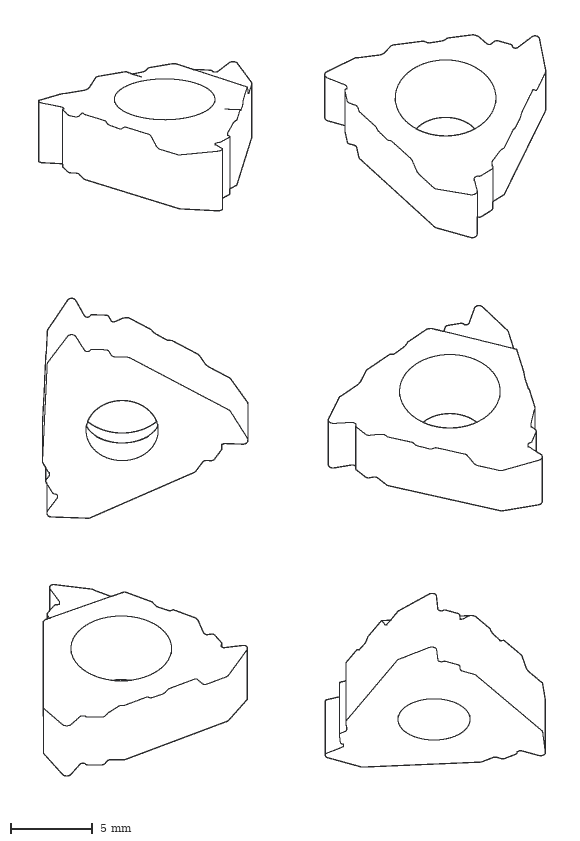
import cadquery as cq
import math

THICKNESS = 4.35
INSCRIBED_RADIUS = 9.525 / 2
TOOTH_COUNT = 3
TOOTH_PITCH = 360 / TOOTH_COUNT
COS30 = math.cos(math.radians(30))
SIN30 = math.sin(math.radians(30))

TIP_X = -3.351
TIP_CENTRE_Y = -6.61
TIP_RADIUS = 0.3
GROOVE_TOP_Y = -5.71
GROOVE_TOP_END_X = -2.24
STEP_Y = -5.88
GROOVE_EDGE_SLOPE = 60
STEP_END_X = -1.09
SHOULDER_Y = -5.39
SHOULDER_START_X = -0.82
GROOVE_ROOT_RADIUS = 0.2
GROOVE_EDGE_RADIUS = 0.165
OUTLINE_RADIUS = 0.25

RAKE_POINT = (7.55, 0.454, 3.98)
RAKE_SLOPE_X = 0.158
RAKE_SLOPE_Y = 0.095
FACET_EDGE_Z = 3.58
FACET_DROP = 0.09
FACET_JUNCTION = (5.15, -1.2, 3.48)
WALL_TOP_X = 4.645
WALL_SKEW = 0.028
WALL_RUN = 0.62
VALLEY_RADIUS = 0.3
WALL_TOP_RADIUS = 0.16
CUTTER_SIZE = 20

THROAT_RADIUS = 4.4 / 2
HEAD_RADIUS = 3.07
SEAT_RADIUS = 3.7
THROAT_LENGTH = 0.83
SEAT_FILLET = 0.4
SEARCH_MARGIN = 0.01

NOTCH_END_X = -3.54
NOTCH_END_Y = 0.55
NOTCH_ANGLE = 15
NOTCH_WIDTH = 0.91
NOTCH_RAMP = 10
NOTCH_WALL_ANGLE = 50
NOTCH_FLOOR_RADIUS = 0.3
NOTCH_RIM_RADIUS = 0.12
NOTCH_HEIGHT = 1
NOTCH_LENGTH = 2


def around_axis(shape, index):
    return shape.rotate((0, 0, 0), (0, 0, 1), index * TOOTH_PITCH)


def tooth_corners():
    """Sharp outline corners of the -Y tooth with the radius that rounds each one."""
    flank_reach = TIP_RADIUS - COS30 * TIP_X - SIN30 * TIP_CENTRE_Y
    far_flank_reach = TIP_RADIUS + COS30 * TIP_X - SIN30 * TIP_CENTRE_Y
    flank_start_y = (COS30 * INSCRIBED_RADIUS - flank_reach) / SIN30
    apex_y = TIP_CENTRE_Y - TIP_RADIUS / SIN30
    groove_start_x = (far_flank_reach + SIN30 * GROOVE_TOP_Y) / COS30
    groove_edge_run = (GROOVE_TOP_Y - STEP_Y) / math.tan(math.radians(GROOVE_EDGE_SLOPE))
    step_start_x = GROOVE_TOP_END_X + groove_edge_run
    shoulder_end_x = (INSCRIBED_RADIUS + COS30 * SHOULDER_Y) / SIN30
    return [
        (-INSCRIBED_RADIUS, flank_start_y, OUTLINE_RADIUS),
        (TIP_X, apex_y, TIP_RADIUS),
        (groove_start_x, GROOVE_TOP_Y, GROOVE_ROOT_RADIUS),
        (GROOVE_TOP_END_X, GROOVE_TOP_Y, GROOVE_EDGE_RADIUS),
        (step_start_x, STEP_Y, GROOVE_EDGE_RADIUS),
        (STEP_END_X, STEP_Y, OUTLINE_RADIUS),
        (SHOULDER_START_X, SHOULDER_Y, OUTLINE_RADIUS),
        (shoulder_end_x, SHOULDER_Y, OUTLINE_RADIUS),
    ]


def spin(x, y, degrees):
    angle = math.radians(degrees)
    return (
        x * math.cos(angle) - y * math.sin(angle),
        x * math.sin(angle) + y * math.cos(angle),
    )


def make_body():
    corners = []
    for index in range(TOOTH_COUNT):
        for x, y, radius in tooth_corners():
            corners.append((spin(x, y, index * TOOTH_PITCH), radius))
    outline = [point for point, _ in corners]
    body = cq.Workplane("XY").polyline(outline).close().extrude(THICKNESS)
    for (x, y), radius in corners:
        corner_edge = cq.selectors.NearestToPointSelector((x, y, THICKNESS / 2))
        body = body.edges("|Z").edges(corner_edge).fillet(radius)
    return body


def half_space(point, normal):
    plane = cq.Plane(origin=point, normal=normal)
    return cq.Workplane(plane).rect(2 * CUTTER_SIZE, 2 * CUTTER_SIZE).extrude(CUTTER_SIZE)


def make_tooth_cutter():
    """Space above the +X tooth: over the rake and the facet, outside the wall."""
    above_rake = half_space(RAKE_POINT, (-RAKE_SLOPE_X, -RAKE_SLOPE_Y, 1))
    facet_point = (SIN30 * INSCRIBED_RADIUS, -COS30 * INSCRIBED_RADIUS, FACET_EDGE_Z)
    above_facet = half_space(facet_point, (-FACET_DROP * SIN30, FACET_DROP * COS30, 1))
    beyond_wall = half_space((WALL_TOP_X, 0, THICKNESS), (1, -WALL_SKEW, WALL_RUN))
    cutter = above_rake.intersect(above_facet).intersect(beyond_wall)
    junction = cutter.vertices(cq.selectors.NearestToPointSelector(FACET_JUNCTION)).val()
    meeting_edges = [
        edge
        for edge in cutter.edges().vals()
        if any(vertex.isSame(junction) for vertex in edge.Vertices())
    ]
    return cutter.newObject(meeting_edges).fillet(VALLEY_RADIUS)


def make_hole_cutter():
    head_offset = HEAD_RADIUS - THROAT_RADIUS
    seat_height = math.sqrt(SEAT_RADIUS**2 - (SEAT_RADIUS - head_offset)**2)
    seat_top = THROAT_LENGTH + seat_height
    profile = (
        cq.Workplane("XZ")
        .lineTo(THROAT_RADIUS, 0)
        .lineTo(THROAT_RADIUS, THROAT_LENGTH)
        .radiusArc((HEAD_RADIUS, seat_top), SEAT_RADIUS)
        .lineTo(HEAD_RADIUS, THICKNESS)
        .lineTo(0, THICKNESS)
        .close()
    )
    hole = profile.revolve(360, (0, 0), (0, 1))
    seat_edge = cq.selectors.BoxSelector(
        (-THICKNESS, -THICKNESS, seat_top - SEARCH_MARGIN),
        (THICKNESS, THICKNESS, seat_top + SEARCH_MARGIN),
        boundingbox=True,
    )
    return hole.edges(seat_edge).fillet(SEAT_FILLET)


def make_notch_cutter():
    """Trapezoid bar whose floor rises inward until it meets the top face."""
    spread = NOTCH_HEIGHT * math.tan(math.radians(NOTCH_WALL_ANGLE))
    half_floor = NOTCH_WIDTH / 2
    bar = (
        cq.Workplane("YZ")
        .polyline([
            (-half_floor, 0),
            (half_floor, 0),
            (half_floor + spread, NOTCH_HEIGHT),
            (-half_floor - spread, NOTCH_HEIGHT),
        ])
        .close()
        .extrude(-NOTCH_LENGTH)
        .edges("|X and <Z")
        .fillet(NOTCH_FLOOR_RADIUS)
    )
    return (
        bar.rotate((0, 0, 0), (0, 1, 0), -NOTCH_RAMP)
        .rotate((0, 0, 0), (0, 0, 1), NOTCH_ANGLE)
        .translate((NOTCH_END_X, NOTCH_END_Y, THICKNESS))
    )


def round_wall_tops(part):
    """Round the top edge of each tooth wall."""
    for index in range(TOOTH_COUNT):
        x, y = spin(WALL_TOP_X, 0, index * TOOTH_PITCH)
        wall_top = cq.selectors.NearestToPointSelector((x, y, THICKNESS))
        part = part.edges(wall_top).fillet(WALL_TOP_RADIUS)
    return part


def round_notch_rims(part):
    """Round each notch rim; its edges run tangent, so the end edge leads to the rest."""
    for index in range(TOOTH_COUNT):
        x, y = spin(NOTCH_END_X, NOTCH_END_Y, index * TOOTH_PITCH)
        rim_end = cq.selectors.NearestToPointSelector((x, y, THICKNESS))
        part = part.edges(rim_end).fillet(NOTCH_RIM_RADIUS)
    return part


tooth_cutter = make_tooth_cutter()
notch_cutter = make_notch_cutter()

result = make_body().cut(make_hole_cutter())
for side in range(TOOTH_COUNT):
    result = result.cut(around_axis(tooth_cutter, side))
result = round_wall_tops(result)
for side in range(TOOTH_COUNT):
    result = result.cut(around_axis(notch_cutter, side))
result = round_notch_rims(result)